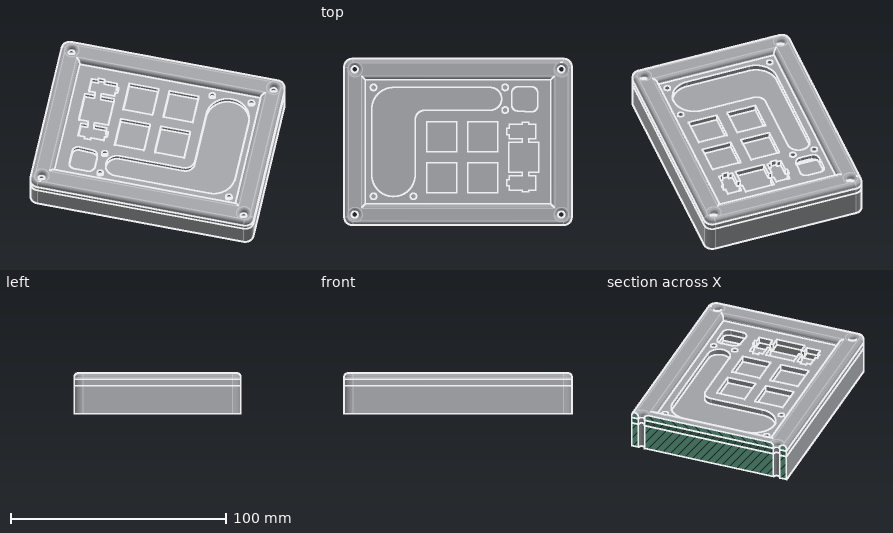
import cadquery as cq

LENGTH = 106.0
WIDTH = 77.5
CORNER_RADIUS = 4.0
RIM_WIDTH = 10.0
OPENING_LENGTH = LENGTH - 2 * RIM_WIDTH
OPENING_WIDTH = WIDTH - 2 * RIM_WIDTH

BASE_HEIGHT = 13.0
FLOOR_THICKNESS = 5.0
PLATE_THICKNESS = 3.0
LID_THICKNESS = 3.0
PLATE_BOTTOM = BASE_HEIGHT
LID_BOTTOM = PLATE_BOTTOM + PLATE_THICKNESS

LID_ROUND = 2.0

CASE_SCREW_DIAMETER = 2.9
CASE_SCREW_INSET = 5.0
CASE_SCREW_X = LENGTH / 2 - CASE_SCREW_INSET
CASE_SCREW_Y = WIDTH / 2 - CASE_SCREW_INSET
CASE_SCREW_POINTS = [(sx * CASE_SCREW_X, sy * CASE_SCREW_Y) for sx in (-1, 1) for sy in (-1, 1)]

KEY_PITCH = 19.05
SWITCH_SIZE = 14.0
LEFT_KEY_X = -7.6
UPPER_KEY_Y = 2.4
LOWER_KEY_Y = UPPER_KEY_Y - KEY_PITCH
TALL_KEY_X = LEFT_KEY_X + 2 * KEY_PITCH
TALL_KEY_Y = (UPPER_KEY_Y + LOWER_KEY_Y) / 2
SWITCH_POINTS = [
    (LEFT_KEY_X, UPPER_KEY_Y),
    (LEFT_KEY_X, LOWER_KEY_Y),
    (LEFT_KEY_X + KEY_PITCH, UPPER_KEY_Y),
    (LEFT_KEY_X + KEY_PITCH, LOWER_KEY_Y),
    (TALL_KEY_X, TALL_KEY_Y),
]

STAB_OFFSET = 11.94
STAB_HEIGHT = 6.65
STAB_LEFT = 6.65
STAB_RIGHT = 5.55
STAB_TAB_LEFT = 7.75
STAB_TAB_HEIGHT = 2.8
STAB_SLOT_SHIFT = 0.95
STAB_SLOT_WIDTH = 3.0
STAB_SLOT_OVERHANG = 0.9

WINDOW_LEFT = -40.1
WINDOW_TOP = 25.3
WINDOW_BOTTOM = -25.4
LEG_WIDTH = 20.2
ARM_HEIGHT = 10.6
ARM_RIGHT = 20.3
WINDOW_INNER_RADIUS = 4.5

BOARD_SCREW_DIAMETER = 2.9
BOARD_SCREW_LEFT = -39.25
BOARD_SCREW_TOP = 25.3
BOARD_SCREW_BOTTOM = -25.3
LEG_SCREW_RIGHT = -20.7
ARM_SCREW_RIGHT = 21.9
ARM_SCREW_BOTTOM = 14.8
BOARD_SCREW_POINTS = [
    (BOARD_SCREW_LEFT, BOARD_SCREW_TOP),
    (ARM_SCREW_RIGHT, BOARD_SCREW_TOP),
    (ARM_SCREW_RIGHT, ARM_SCREW_BOTTOM),
    (LEG_SCREW_RIGHT, BOARD_SCREW_BOTTOM),
    (BOARD_SCREW_LEFT, BOARD_SCREW_BOTTOM),
]

BOARD_THICKNESS = 1.6
BOARD_MARGIN = 2.5

KNOB_LEFT = 24.95
KNOB_RIGHT = 37.05
KNOB_TOP = 25.6
KNOB_BOTTOM_AT_LEFT = 14.5
KNOB_BOTTOM_AT_RIGHT = 13.75
KNOB_CORNER_RADIUS = 2.9


def rounded_slab(bottom, thickness):
    """Layer with the enclosure's outline."""
    slab = cq.Workplane("XY", origin=(0, 0, bottom)).rect(LENGTH, WIDTH).extrude(thickness)
    return slab.edges("|Z").fillet(CORNER_RADIUS)


def round_holes(points, diameter, bottom, depth):
    return cq.Workplane("XY", origin=(0, 0, bottom)).pushPoints(points).circle(diameter / 2).extrude(depth)


def central_opening(bottom, depth):
    """Rectangular block that leaves a rim of constant width."""
    return cq.Workplane("XY", origin=(0, 0, bottom)).rect(OPENING_LENGTH, OPENING_WIDTH).extrude(depth)


def plate_block(left, right, low, high):
    """Rectangular cutter through the plate."""
    block = cq.Workplane("XY").box(right - left, high - low, PLATE_THICKNESS, centered=False)
    return block.translate((left, low, PLATE_BOTTOM))


def window_cutter():
    leg_radius = LEG_WIDTH / 2
    arm_radius = ARM_HEIGHT / 2
    leg_right = WINDOW_LEFT + LEG_WIDTH
    leg_end = WINDOW_BOTTOM + leg_radius
    arm_bottom = WINDOW_TOP - ARM_HEIGHT
    arm_end = ARM_RIGHT - arm_radius
    outline = (
        cq.Workplane("XY", origin=(0, 0, PLATE_BOTTOM))
        .moveTo(WINDOW_LEFT + leg_radius, WINDOW_TOP)
        .lineTo(arm_end, WINDOW_TOP)
        .radiusArc((arm_end, arm_bottom), arm_radius)
        .lineTo(leg_right + WINDOW_INNER_RADIUS, arm_bottom)
        .radiusArc((leg_right, arm_bottom - WINDOW_INNER_RADIUS), -WINDOW_INNER_RADIUS)
        .lineTo(leg_right, leg_end)
        .radiusArc((WINDOW_LEFT, leg_end), leg_radius)
        .lineTo(WINDOW_LEFT, WINDOW_TOP - leg_radius)
        .radiusArc((WINDOW_LEFT + leg_radius, WINDOW_TOP), leg_radius)
        .close()
    )
    return outline.extrude(PLATE_THICKNESS)


def switch_cutters():
    squares = cq.Workplane("XY", origin=(0, 0, PLATE_BOTTOM)).pushPoints(SWITCH_POINTS)
    return squares.rect(SWITCH_SIZE, SWITCH_SIZE).extrude(PLATE_THICKNESS)


def stabiliser_cutter():
    """Two housings with side tabs, joined by a slot that runs past both ends."""
    slot_center = TALL_KEY_X + STAB_SLOT_SHIFT
    slot_reach = STAB_OFFSET + STAB_HEIGHT / 2 + STAB_SLOT_OVERHANG
    cutter = plate_block(
        slot_center - STAB_SLOT_WIDTH / 2,
        slot_center + STAB_SLOT_WIDTH / 2,
        TALL_KEY_Y - slot_reach,
        TALL_KEY_Y + slot_reach,
    )
    for side in (-1, 1):
        center_y = TALL_KEY_Y + side * STAB_OFFSET
        housing = plate_block(
            TALL_KEY_X - STAB_LEFT,
            TALL_KEY_X + STAB_RIGHT,
            center_y - STAB_HEIGHT / 2,
            center_y + STAB_HEIGHT / 2,
        )
        tab = plate_block(
            TALL_KEY_X - STAB_TAB_LEFT,
            TALL_KEY_X,
            center_y - STAB_TAB_HEIGHT / 2,
            center_y + STAB_TAB_HEIGHT / 2,
        )
        cutter = cutter.union(housing).union(tab)
    return cutter


def knob_cutter():
    corners = [
        (KNOB_LEFT, KNOB_TOP),
        (KNOB_RIGHT, KNOB_TOP),
        (KNOB_RIGHT, KNOB_BOTTOM_AT_RIGHT),
        (KNOB_LEFT, KNOB_BOTTOM_AT_LEFT),
    ]
    block = cq.Workplane("XY", origin=(0, 0, PLATE_BOTTOM)).polyline(corners).close().extrude(PLATE_THICKNESS)
    return block.edges("|Z").fillet(KNOB_CORNER_RADIUS)


def flared_hole_cutter():
    """Screw hole through the lid whose upper edge is rounded outwards."""
    radius = CASE_SCREW_DIAMETER / 2
    mouth = radius + LID_ROUND
    profile = (
        cq.Workplane("XZ")
        .lineTo(radius, 0)
        .lineTo(radius, LID_THICKNESS - LID_ROUND)
        .radiusArc((mouth, LID_THICKNESS), LID_ROUND)
        .lineTo(0, LID_THICKNESS)
        .close()
    )
    return profile.revolve(360, (0, 0), (0, 1))


def make_base():
    """Tray with a rectangular cavity open to the plate above."""
    base = rounded_slab(0, BASE_HEIGHT)
    base = base.cut(central_opening(FLOOR_THICKNESS, BASE_HEIGHT - FLOOR_THICKNESS))
    return base.cut(round_holes(CASE_SCREW_POINTS, CASE_SCREW_DIAMETER, 0, BASE_HEIGHT))


def make_board():
    """L-shaped board under the plate, reaching a margin beyond its screws."""
    left = BOARD_SCREW_LEFT - BOARD_MARGIN
    top = BOARD_SCREW_TOP + BOARD_MARGIN
    arm_right = ARM_SCREW_RIGHT + BOARD_MARGIN
    arm_bottom = ARM_SCREW_BOTTOM - BOARD_MARGIN
    leg_right = LEG_SCREW_RIGHT + BOARD_MARGIN
    leg_bottom = BOARD_SCREW_BOTTOM - BOARD_MARGIN
    corners = [
        (left, top),
        (arm_right, top),
        (arm_right, arm_bottom),
        (leg_right, arm_bottom),
        (leg_right, leg_bottom),
        (left, leg_bottom),
    ]
    bottom = PLATE_BOTTOM - BOARD_THICKNESS
    board = cq.Workplane("XY", origin=(0, 0, bottom)).polyline(corners).close().extrude(BOARD_THICKNESS)
    return board.cut(round_holes(BOARD_SCREW_POINTS, BOARD_SCREW_DIAMETER, bottom, BOARD_THICKNESS))


def make_plate():
    """Switch plate with all its through cutouts."""
    plate = rounded_slab(PLATE_BOTTOM, PLATE_THICKNESS)
    plate = plate.cut(switch_cutters())
    plate = plate.cut(stabiliser_cutter())
    plate = plate.cut(window_cutter())
    plate = plate.cut(knob_cutter())
    plate = plate.cut(round_holes(BOARD_SCREW_POINTS, BOARD_SCREW_DIAMETER, PLATE_BOTTOM, PLATE_THICKNESS))
    return plate.cut(round_holes(CASE_SCREW_POINTS, CASE_SCREW_DIAMETER, PLATE_BOTTOM, PLATE_THICKNESS))


def make_lid():
    """Frame with rounded upper edges and flared corner screw holes."""
    lid = rounded_slab(LID_BOTTOM, LID_THICKNESS)
    lid = lid.cut(central_opening(LID_BOTTOM, LID_THICKNESS))
    lid = lid.faces(">Z").edges().fillet(LID_ROUND)
    for x, y in CASE_SCREW_POINTS:
        lid = lid.cut(flared_hole_cutter().translate((x, y, LID_BOTTOM)))
    return lid


base = make_base()
board = make_board()
plate = make_plate()
lid = make_lid()

result = cq.Compound.makeCompound([base.val(), board.val(), plate.val(), lid.val()])